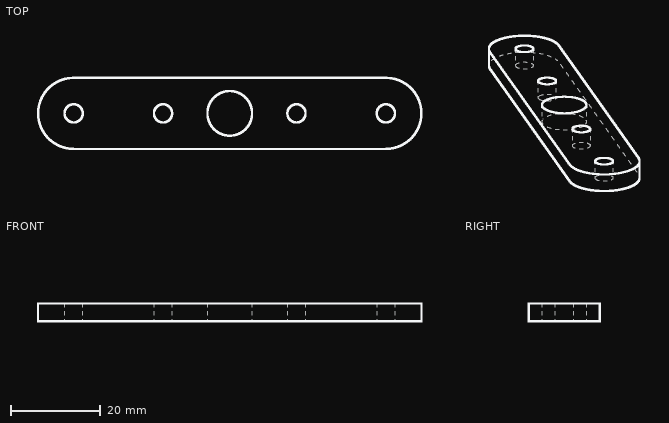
import cadquery as cq

length = 86.0
width = 16.0
thickness = 4.0

centre_hole_diameter = 10.0
small_hole_diameter = 4.0
inner_hole_offset = 15.0
outer_hole_offset = (length - width) / 2

small_hole_points = [
    (side * offset, 0)
    for side in (-1, 1)
    for offset in (inner_hole_offset, outer_hole_offset)
]

bar = cq.Workplane("XY").slot2D(length, width).extrude(thickness)

result = (
    bar.faces(">Z")
    .workplane(origin=(0, 0, thickness))
    .hole(centre_hole_diameter)
    .faces(">Z")
    .workplane(origin=(0, 0, thickness))
    .pushPoints(small_hole_points)
    .hole(small_hole_diameter)
)